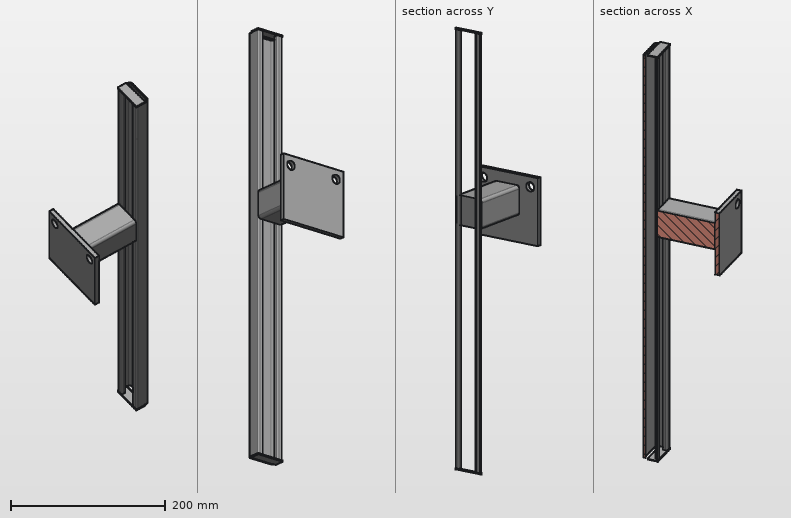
import cadquery as cq

total_length = 597.0
rail_width = 41.0
rail_depth = 21.0
rail_wall = 2.0
rear_bend_radius = 5.0
lip_bend_radius = 2.5
opening_width = 22.5
lip_return_depth = 6.0

cap_thickness = 2.0
cap_depth = 14.5

arm_size = 40.5
arm_length = 82.0
arm_edge_radius = 4.0
arm_centre_z = 351.0

plate_width = 100.0
plate_height = 92.0
plate_thickness = 6.5
plate_centre_z = 340.0
hole_diameter = 12.5
hole_spacing = 76.0
hole_from_top = 14.0

rail_length = total_length - 2 * cap_thickness


def make_bar(width, depth, height, front_y=0.0):
    """Plain upright block centred on X = 0, from front_y toward +Y, standing on Z = 0."""
    bar = cq.Workplane("XY").box(width, depth, height, centered=(True, False, False))
    return bar.translate((0, front_y, 0))


def round_upright_edges(body, x, y, radius):
    """Fillet the mirrored pair of upright edges at +x and -x."""
    for edge_x in (-x, x):
        nearest = cq.selectors.NearestToPointSelector((edge_x, y, rail_length / 2))
        body = body.edges("|Z").edges(nearest).fillet(radius)
    return body


def make_rail():
    """Channel of even wall thickness whose lips turn back into it at the opening."""
    half_width = rail_width / 2
    half_opening = opening_width / 2

    cavity = make_bar(rail_width - 2 * rail_wall, rail_depth - 2 * rail_wall, rail_length, rail_wall)
    lip_returns = make_bar(opening_width + 2 * rail_wall, lip_return_depth, rail_length)
    opening = make_bar(opening_width, rail_depth - rail_wall, rail_length)
    rail = make_bar(rail_width, rail_depth, rail_length).cut(cavity.cut(lip_returns)).cut(opening)

    bends = [
        ((half_width, rail_depth), (half_width - rail_wall, rail_depth - rail_wall), rear_bend_radius),
        ((half_width, 0), (half_width - rail_wall, rail_wall), lip_bend_radius),
        ((half_opening, 0), (half_opening + rail_wall, rail_wall), lip_bend_radius),
    ]
    for outer_corner, inner_corner, outer_radius in bends:
        rail = round_upright_edges(rail, *outer_corner, outer_radius)
        rail = round_upright_edges(rail, *inner_corner, outer_radius - rail_wall)
    return rail.translate((0, 0, cap_thickness))


def make_cap(bottom_z):
    """Flat end plate whose underside is at bottom_z."""
    return make_bar(rail_width, cap_depth, cap_thickness).translate((0, 0, bottom_z))


def make_arm():
    """Square bar along Y, from the lips of the rail to the mounting plate."""
    arm = cq.Workplane("XY").box(arm_size, arm_length, arm_size).edges("|Y").fillet(arm_edge_radius)
    return arm.translate((0, -arm_length / 2, arm_centre_z))


def make_mounting_plate():
    """Upright plate on the free end of the arm, with two through holes."""
    hole_z = plate_height / 2 - hole_from_top
    plate = (
        cq.Workplane("XY")
        .box(plate_width, plate_thickness, plate_height)
        .faces("<Y")
        .workplane(centerOption="CenterOfBoundBox")
        .pushPoints([(-hole_spacing / 2, hole_z), (hole_spacing / 2, hole_z)])
        .hole(hole_diameter)
    )
    return plate.translate((0, -arm_length - plate_thickness / 2, plate_centre_z))


rail = make_rail()
caps = [make_cap(bottom_z) for bottom_z in (0, total_length - cap_thickness)]
arm = make_arm()
mounting_plate = make_mounting_plate()

result = cq.Compound.makeCompound(
    [rail.val(), *[cap.val() for cap in caps], arm.val(), mounting_plate.val()]
)